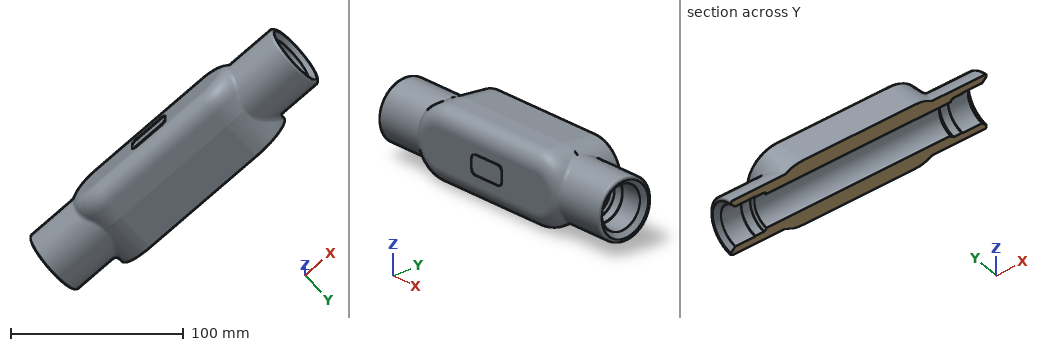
import cadquery as cq
import math

length = 188.8
center_distance = 82.7
body_height = 48.9
body_depth = 47.5
front_depth = 22.3
back_inset = 2.3
front_round = 11.5
hub_diameter = 41.3
blend_radius = 2.8

rim_round = 1.6
mouth_diameter = 36.6
mouth_depth = 3.4
socket_diameter = 29.8
socket_depth = 18.1
throat_diameter = 29.0
throat_depth = 24.5
bore_diameter = 25.3
stop_round = 1.7

label_width = 26.0
label_height = 13.2
label_corner = 3.5
label_depth = 0.4

half_length = length / 2
back_depth = body_depth - front_depth


def make_body():
    """Slot-shaped body: straight in front of the hub axis, leaning in behind it."""
    slot_length = center_distance + body_height
    draft = math.degrees(math.atan(back_inset / back_depth))
    front = cq.Workplane("XZ").slot2D(slot_length, body_height).extrude(front_depth)
    front = front.faces("<Y").edges().fillet(front_round)
    back = cq.Workplane("XZ").slot2D(slot_length, body_height).extrude(-back_depth, taper=draft)
    return front.union(back)


def add_hubs(body):
    """Run one round bar through the body and blend where it leaves the body."""
    hubs = (
        cq.Workplane("YZ")
        .circle(hub_diameter / 2)
        .extrude(half_length, both=True)
        .faces("<X or >X")
        .edges()
        .fillet(rim_round)
    )
    return body.union(hubs).edges("%BSPLINE").fillet(blend_radius)


def make_passage():
    """Stepped hole along X: one half is revolved about the hub axis, then mirrored."""
    mouth_end = half_length - mouth_depth
    socket_end = half_length - socket_depth
    stop_face = half_length - throat_depth
    bore_radius = bore_diameter / 2
    throat_radius = throat_diameter / 2
    profile = (
        cq.Workplane("XY")
        .moveTo(0, 0)
        .lineTo(0, bore_radius)
        .lineTo(stop_face - stop_round, bore_radius)
        .radiusArc((stop_face, bore_radius + stop_round), stop_round)
        .lineTo(stop_face, throat_radius)
        .lineTo(socket_end, throat_radius)
        .lineTo(socket_end, socket_diameter / 2)
        .lineTo(mouth_end, socket_diameter / 2)
        .lineTo(half_length, mouth_diameter / 2)
        .lineTo(half_length, 0)
        .close()
    )
    half = profile.revolve(360, (0, 0, 0), (1, 0, 0))
    return half.union(half.mirror("YZ"))


def make_label_recess():
    """Shallow rounded rectangle in the middle of the front face."""
    return (
        cq.Workplane("XZ", origin=(0, -front_depth, 0))
        .rect(label_width, label_height)
        .extrude(-label_depth)
        .edges("|Y")
        .fillet(label_corner)
    )


result = add_hubs(make_body()).cut(make_passage()).cut(make_label_recess())